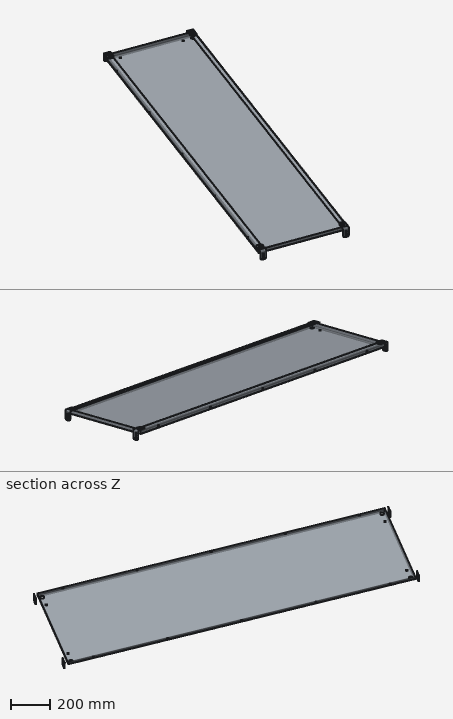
import cadquery as cq

overall_length = 1910.0
overall_width = 500.0
overall_height = 55.0

tray_length = 1870.0
tray_height = 25.0
tray_sheet = 2.0
tray_bend_radius = 5.0
flange_width = 29.0

wall_hole_diameter = 8.5
wall_hole_pitch = 400.0
wall_hole_count = 5

floor_hole_diameter = 8.5
floor_hole_spacing_x = 1825.0
floor_hole_spacing_y = 353.0

bracket_sheet = 2.0
bracket_width = 35.0
bracket_length = 60.0
bracket_bend_radius = 8.0
corner_radius = 13.0
leg_hole_diameter = 8.5
leg_hole_count = 3
leg_hole_pitch = 11.0
leg_hole_middle_depth = 32.0

fastening_inset = 40.0
arm_slot_length = 19.0
arm_slot_width = 10.0
flange_hole_diameter = 8.5
access_hole_diameter = 19.0

bracket_top = overall_height / 2
tray_top = bracket_top - bracket_sheet
tray_bottom = tray_top - tray_height
bracket_center_y = overall_width / 2 - bracket_width / 2
fastening_x = overall_length / 2 - fastening_inset


def tray_holes(diameter, spacing_x, spacing_y, bottom):
    """Four vertical cylinders, one near each corner, each through one sheet of the tray."""
    return (
        cq.Workplane("XY", origin=(0, 0, bottom))
        .rarray(spacing_x, spacing_y, 2, 2)
        .circle(diameter / 2)
        .extrude(tray_sheet)
    )


def make_tray():
    """Floor with low walls, bent inward to a flange along both long sides."""
    outside = (
        cq.Workplane("XY", origin=(0, 0, tray_bottom))
        .box(tray_length, overall_width, tray_height, centered=(True, True, False))
        .edges("|X or (|Y and <Z)")
        .fillet(tray_bend_radius)
    )
    inner_length = tray_length - 2 * tray_sheet
    inner_width = overall_width - 2 * tray_sheet
    inside = (
        cq.Workplane("XY", origin=(0, 0, tray_bottom + tray_sheet))
        .box(inner_length, inner_width, tray_height - 2 * tray_sheet, centered=(True, True, False))
        .edges("|X or (|Y and <Z)")
        .fillet(tray_bend_radius - tray_sheet)
    )
    opening = cq.Workplane("XY", origin=(0, 0, tray_top - tray_height / 2)).box(
        inner_length, overall_width - 2 * flange_width, tray_height, centered=(True, True, False)
    )
    wall_holes = (
        cq.Workplane("XZ", origin=(0, 0, tray_bottom + tray_height / 2))
        .rarray(wall_hole_pitch, 20, wall_hole_count, 1)
        .circle(wall_hole_diameter / 2)
        .extrude(overall_width, both=True)
    )
    drains = tray_holes(floor_hole_diameter, floor_hole_spacing_x, floor_hole_spacing_y, tray_bottom)
    access = tray_holes(access_hole_diameter, 2 * fastening_x, 2 * bracket_center_y, tray_bottom)
    flange_holes = tray_holes(
        flange_hole_diameter, 2 * fastening_x, 2 * bracket_center_y, tray_top - tray_sheet
    )
    tray = outside.cut(inside).cut(opening)
    return tray.cut(wall_holes).cut(drains).cut(access).cut(flange_holes)


def make_bracket(x_side, y_side):
    """Angle bracket for the corner on the given side (-1 or 1) in X and in Y."""
    outside = (
        cq.Workplane("XY")
        .box(bracket_length, bracket_width, overall_height)
        .edges("|Y and >Z and >X")
        .fillet(bracket_bend_radius)
    )
    inside = (
        cq.Workplane("XY", origin=(-bracket_sheet, 0, -bracket_sheet))
        .box(bracket_length, bracket_width, overall_height)
        .edges("|Y and >Z and >X")
        .fillet(bracket_bend_radius - bracket_sheet)
    )
    bracket = (
        outside.cut(inside)
        .edges("|Z and <X")
        .fillet(corner_radius)
        .edges("|X and <Z")
        .fillet(corner_radius)
        .translate((overall_length / 2 - bracket_length / 2, bracket_center_y, 0))
    )
    arm_slot = (
        cq.Workplane("XY", origin=(fastening_x, bracket_center_y, tray_top))
        .slot2D(arm_slot_length, arm_slot_width)
        .extrude(bracket_sheet)
    )
    leg_holes = (
        cq.Workplane("YZ", origin=(overall_length / 2, bracket_center_y, bracket_top - leg_hole_middle_depth))
        .rarray(20, leg_hole_pitch, 1, leg_hole_count)
        .circle(leg_hole_diameter / 2)
        .extrude(-bracket_sheet)
    )
    bracket = bracket.cut(arm_slot).cut(leg_holes)
    if x_side < 0:
        bracket = bracket.mirror("YZ")
    if y_side < 0:
        bracket = bracket.mirror("XZ")
    return bracket


tray = make_tray()
brackets = [make_bracket(x_side, y_side) for x_side in (-1, 1) for y_side in (-1, 1)]

result = cq.Compound.makeCompound([tray.val(), *[bracket.val() for bracket in brackets]])